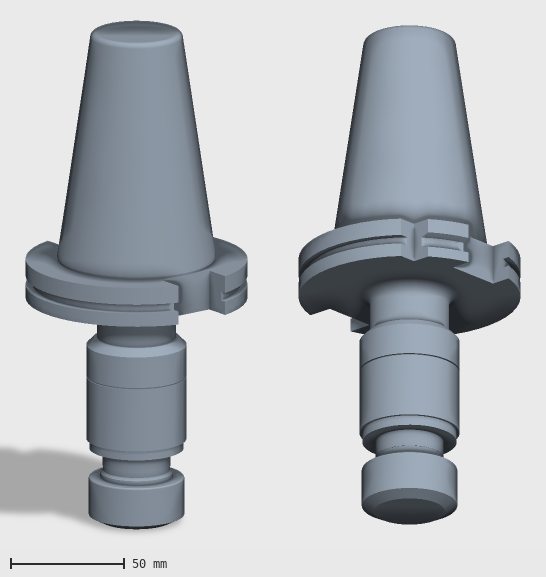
import cadquery as cq

total_length = 222.2
projection_length = 120.0

taper_length = total_length - projection_length
taper_rim_diameter = 69.85
taper_ratio = 7 / 24
taper_end_fillet = 2.5
relief_diameter = 69.4

flange_diameter = 97.5
flange_top = -1.0
flange_bottom = -18.65
groove_floor_diameter = 91.3
groove_middle = -10.65
groove_floor_width = 4.0
v_groove_mouth_width = 6.8
slot_width = 26.0
left_slot_floor = -37.7
right_slot_floor = 35.5
notch_x = -30.0
notch_y = 30.0

neck_diameter = 34.6
neck_fillet = 4.5
body_diameter = 44.0
body_top = -36.65
body_bottom = -82.85
body_chamfer = 3.4
ring_groove_diameter = 42.0
ring_groove_middle = -54.3
ring_groove_width = 0.7
collar_diameter = 41.45
collar_bottom = -87.25

stem_diameter = 30.0
stem_bottom = -94.75
stem_groove_diameter = 29.59
shoulder_diameter = 31.98
shoulder_rim = -98.05
nut_diameter = 42.0
nut_top = -100.0
nut_top_fillet = 0.8
nut_bottom = -projection_length
nut_end_diameter = 31.2
nut_end_height = 2.8

flange_radius = flange_diameter / 2
flange_thickness = flange_top - flange_bottom
taper_end_diameter = taper_rim_diameter - taper_ratio * taper_length
shoulder_top = shoulder_rim + (shoulder_diameter - stem_groove_diameter) / 2


def revolve_about_z(outline):
    """Turn a closed (radius, z) outline into a solid of revolution."""
    return outline.close().revolve(360, (0, 0, 0), (0, 1, 0))


def cylinder(diameter, top, bottom):
    return cq.Workplane("XY").workplane(offset=bottom).circle(diameter / 2).extrude(top - bottom)


def flange_block(x_min, x_max, y_min, y_max):
    """Block over the full thickness of the flange."""
    size_x = x_max - x_min
    size_y = y_max - y_min
    block = cq.Workplane("XY").box(size_x, size_y, flange_thickness, centered=False)
    return block.translate((x_min, y_min, flange_bottom))


def make_shank():
    outline = cq.Workplane("XZ").polyline([
        (0, 0),
        (taper_rim_diameter / 2, 0),
        (taper_end_diameter / 2, taper_length),
        (0, taper_length),
    ])
    cone = revolve_about_z(outline).faces(">Z").edges().fillet(taper_end_fillet)
    return cone.union(cylinder(relief_diameter, 0, flange_top))


def groove_ring(mouth_width):
    """Ring that cuts the gripper groove; its sides slope when the mouth is wider than the floor."""
    floor_radius = groove_floor_diameter / 2
    outline = cq.Workplane("XZ").polyline([
        (floor_radius, groove_middle - groove_floor_width / 2),
        (flange_radius, groove_middle - mouth_width / 2),
        (flange_radius, groove_middle + mouth_width / 2),
        (floor_radius, groove_middle + groove_floor_width / 2),
    ])
    return revolve_about_z(outline)


def make_flange():
    flange = cylinder(flange_diameter, flange_top, flange_bottom)

    v_section = flange_block(-flange_radius, notch_x, slot_width / 2, notch_y)
    flange = flange.cut(groove_ring(groove_floor_width))
    flange = flange.cut(groove_ring(v_groove_mouth_width).intersect(v_section))

    half_slot = slot_width / 2
    left_slot = flange_block(-flange_radius, left_slot_floor, -half_slot, half_slot)
    right_slot = flange_block(right_slot_floor, flange_radius, -half_slot, half_slot)
    notch = flange_block(-flange_radius, notch_x, notch_y, flange_radius)
    return flange.cut(left_slot).cut(right_slot).cut(notch)


def make_body():
    """Neck with its fillet under the flange, chamfered body and collar."""
    neck_radius = neck_diameter / 2
    body_radius = body_diameter / 2
    collar_radius = collar_diameter / 2
    outline = (
        cq.Workplane("XZ")
        .moveTo(0, flange_bottom)
        .lineTo(neck_radius + neck_fillet, flange_bottom)
        .radiusArc((neck_radius, flange_bottom - neck_fillet), -neck_fillet)
        .lineTo(neck_radius, body_top)
        .lineTo(body_radius - body_chamfer, body_top)
        .lineTo(body_radius, body_top - body_chamfer)
        .lineTo(body_radius, body_bottom)
        .lineTo(collar_radius, body_bottom)
        .lineTo(collar_radius, collar_bottom)
        .lineTo(0, collar_bottom)
    )
    ring_top = ring_groove_middle + ring_groove_width / 2
    ring_bottom = ring_groove_middle - ring_groove_width / 2
    ring_core = cylinder(ring_groove_diameter, ring_top, ring_bottom)
    ring_groove = cylinder(body_diameter, ring_top, ring_bottom).cut(ring_core)
    return revolve_about_z(outline).cut(ring_groove)


def make_stem_and_nut():
    stem_radius = stem_diameter / 2
    stem_groove_radius = stem_groove_diameter / 2
    shoulder_radius = shoulder_diameter / 2
    nut_radius = nut_diameter / 2
    outline = (
        cq.Workplane("XZ")
        .moveTo(0, collar_bottom)
        .lineTo(stem_radius, collar_bottom)
        .lineTo(stem_radius, stem_bottom)
        .lineTo(stem_groove_radius, stem_bottom)
        .lineTo(stem_groove_radius, shoulder_top)
        .lineTo(shoulder_radius, shoulder_rim)
        .lineTo(shoulder_radius, nut_top)
        .lineTo(nut_radius - nut_top_fillet, nut_top)
        .radiusArc((nut_radius, nut_top - nut_top_fillet), nut_top_fillet)
        .lineTo(nut_radius, nut_bottom + nut_end_height)
        .lineTo(nut_end_diameter / 2, nut_bottom)
        .lineTo(0, nut_bottom)
    )
    return revolve_about_z(outline)


result = make_shank().union(make_flange()).union(make_body()).union(make_stem_and_nut())